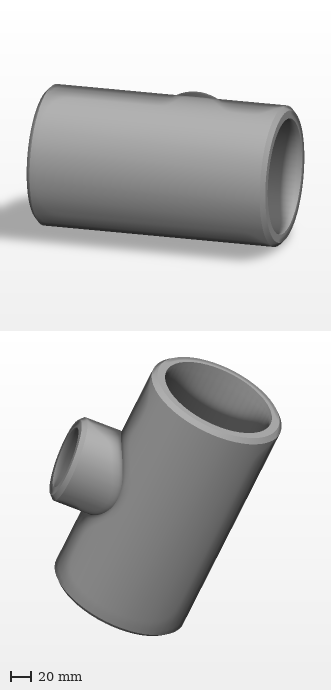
import cadquery as cq

run_length = 248.0
run_diameter = 141.3
wall = 12.6
branch_diameter = 88.7
branch_reach = 111.3
bevel = 4.5

run_radius = run_diameter / 2
branch_radius = branch_diameter / 2


def run_cylinder(radius):
    """Cylinder over the full run length, centred on the origin."""
    return cq.Workplane("YZ").circle(radius).extrude(run_length / 2, both=True)


def branch_cylinder(radius):
    """Cylinder from the run axis to the branch end face."""
    return cq.Workplane("XZ").circle(radius).extrude(-branch_reach)


run = run_cylinder(run_radius).faces("<X or >X").chamfer(bevel)
branch = branch_cylinder(branch_radius).faces(">Y").chamfer(bevel)

run_bore = run_cylinder(run_radius - wall)
branch_bore = branch_cylinder(branch_radius - wall)

result = run.union(branch).cut(run_bore).cut(branch_bore)